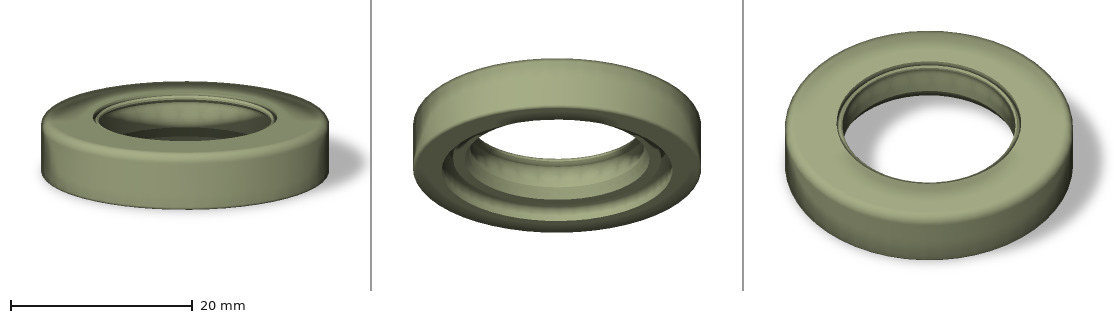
import cadquery as cq

outer_radius = 15.88
height = 6.35
top_fillet = 1.02
bottom_fillet = 0.32

flange_bore_radius = 10.15
flange_thickness = 1.27
cavity_radius = 12.7

disc_thickness = 0.95
lip_back_radius = 11.43
groove_depth = 0.75
crest_radius = 9.7
crest_depth = 0.2
dust_lip_radius = 9.52
dust_lip_top_depth = 0.38
dust_lip_bottom_depth = 0.6
throat_radius = 10.03
throat_depth = 1.02
main_lip_radius = 9.52
main_lip_depth = 3.78
flare_radius = 10.15
flare_depth = 5.0


def revolve_section(points):
    """Revolve a closed (radius, height) outline about the Z axis."""
    return cq.Workplane("XZ").polyline(points).close().revolve(360, (0, 0, 0), (0, 1, 0))


def make_housing():
    """Cup open at the bottom, rounded above and slightly rounded below."""
    flange_bottom = height - flange_thickness
    ring = revolve_section([
        (flange_bore_radius, height),
        (outer_radius, height),
        (outer_radius, 0),
        (cavity_radius, 0),
        (cavity_radius, flange_bottom),
        (flange_bore_radius, flange_bottom),
    ])
    ring = ring.faces(">Z").edges(cq.selectors.RadiusNthSelector(-1)).fillet(top_fillet)
    return ring.faces("<Z").edges(cq.selectors.RadiusNthSelector(-1)).fillet(bottom_fillet)


def make_seal():
    """Seal ring: dust lip behind a V groove at the top, flared main lip below."""
    disc_top = height - flange_thickness
    disc_bottom = disc_top - disc_thickness
    return revolve_section([
        (flange_bore_radius, height - groove_depth),
        (crest_radius, height - crest_depth),
        (dust_lip_radius, height - dust_lip_top_depth),
        (dust_lip_radius, height - dust_lip_bottom_depth),
        (throat_radius, height - throat_depth),
        (main_lip_radius, height - main_lip_depth),
        (flare_radius, height - flare_depth),
        (lip_back_radius, height - flare_depth),
        (lip_back_radius, disc_bottom),
        (cavity_radius, disc_bottom),
        (cavity_radius, disc_top),
        (flange_bore_radius, disc_top),
    ])


housing = make_housing()
seal = make_seal()

result = cq.Compound.makeCompound([housing.val(), seal.val()])